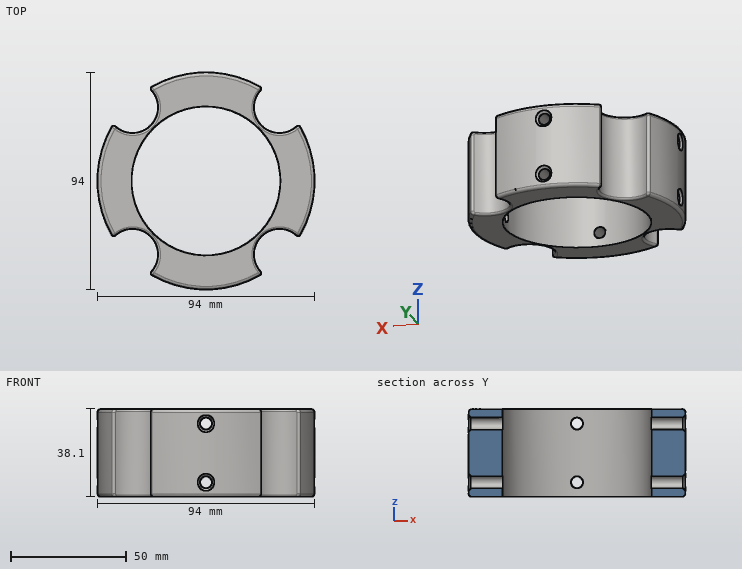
import cadquery as cq

outer_diameter = 94.0
bore_diameter = 64.3
height = 38.1
rim_fillet = 1.5

flute_count = 4
flute_radius = 11.0
flute_center_radius = 44.9
flute_fillet = 1.0

hole_diameter = 5.1
countersink_diameter = 7.4
hole_spacing = 25.4
countersink_depth = (countersink_diameter - hole_diameter) / 2

outer_radius = outer_diameter / 2


def rounded_ring():
    """Ring centred on the origin, with both outer rims rounded."""
    disc = cq.Workplane("XY").cylinder(height, outer_radius)
    disc = disc.faces("|Z").edges().fillet(rim_fillet)
    bore = cq.Workplane("XY").cylinder(height, bore_diameter / 2)
    return disc.cut(bore)


def cut_flutes(body):
    """Cut the flutes and round every edge around each one."""
    flutes = (
        cq.Workplane("XY")
        .polarArray(flute_center_radius, 45, 360, flute_count)
        .cylinder(height, flute_radius)
    )
    fluted = body.cut(flutes)
    diagonals = [(x, y) for x in (-1, 1) for y in (-1, 1)]
    wall_radius = flute_center_radius - flute_radius
    for x, y in diagonals:
        wall_point = (x * wall_radius / 2**0.5, y * wall_radius / 2**0.5, 0)
        wall = fluted.faces(cq.selectors.NearestToPointSelector(wall_point))
        fluted = wall.edges().fillet(flute_fillet)
    return fluted


def screw_hole(direction, z):
    """Cutter for one hole running outward from the ring's axis."""
    axis = cq.Vector(*direction)
    shaft = cq.Solid.makeCylinder(hole_diameter / 2, outer_radius, cq.Vector(0, 0, z), axis)
    cone_start = axis * (outer_radius - countersink_depth) + cq.Vector(0, 0, z)
    cone = cq.Solid.makeCone(
        hole_diameter / 2, countersink_diameter / 2, countersink_depth, cone_start, axis
    )
    return shaft.fuse(cone)


result = cut_flutes(rounded_ring())
for direction in [(1, 0, 0), (0, 1, 0), (-1, 0, 0), (0, -1, 0)]:
    for z in (-hole_spacing / 2, hole_spacing / 2):
        result = result.cut(screw_hole(direction, z))